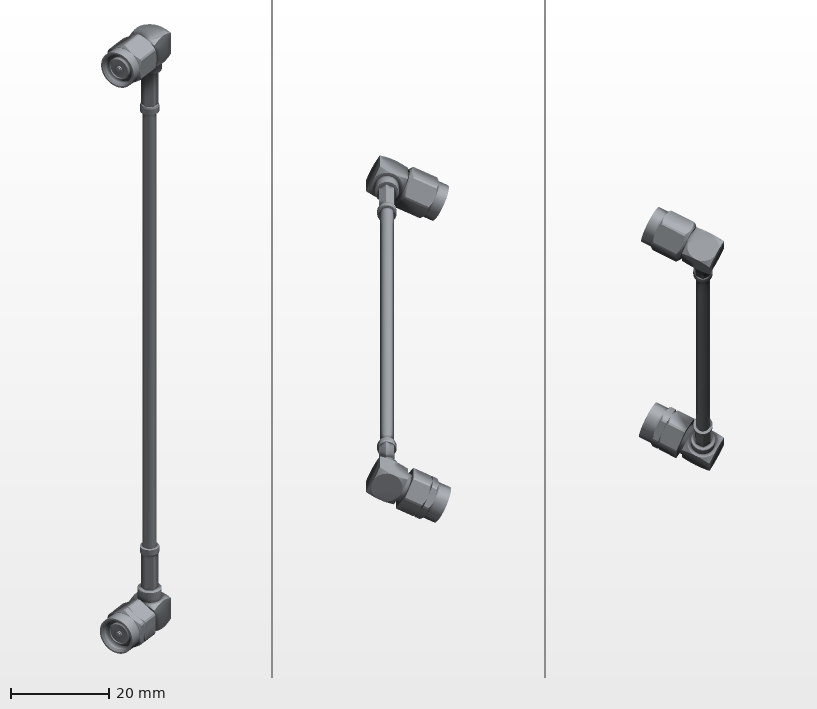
import cadquery as cq
import math

TOTAL_HEIGHT = 141.3
TOTAL_DEPTH = 15.8
HEX_ACROSS_CORNERS = 1 / math.cos(math.pi / 6)

BLOCK_SIDE = 6.4
BLOCK_CHAMFER_ANGLE = 30

COLLAR_DIAMETER = 5.0
COLLAR_LENGTH = 2.4
COLLAR_CHAMFER = 0.1
SLEEVE_WIDTH = 3.1
SLEEVE_CORNER_DIAMETER = 3.5
SLEEVE_LENGTH = 7.9
LIP_DIAMETER = 4.0
LIP_LENGTH = 1.7
LIP_TAPER_LENGTH = 0.4
LIP_TAPER_DEPTH = 0.1
CABLE_DIAMETER = 2.8

NECK_DIAMETER = 6.4
NECK_END = 10.6
SHELL_DIAMETER = 4.8
SHELL_CHAMFER = 0.1
SHELL_LENGTH = 1.1
INSULATOR_DIAMETER = 4.1
INSULATOR_LENGTH = 0.8
PIN_DIAMETER = 1.3
PIN_LENGTH = 1.1
PIN_TIP_DIAMETER = 0.93
PIN_TIP_LENGTH = 0.3

NUT_WIDTH = 8.0
NUT_CORNER_DIAMETER = 9.0
RIM_DIAMETER = 7.9
NUT_FRONT_CHAMFER = 0.4
BORE_CHAMFER = 0.4
HEX_END = 9.9

PLAIN_NUT_START = 3.4
PLAIN_NUT_END = 12.2
PLAIN_NUT_REAR_DIAMETER = 7.3
PLAIN_NUT_REAR_CHAMFER = 0.7

NOTCHED_NUT_START = 4.1
NOTCHED_NUT_END = TOTAL_DEPTH - BLOCK_SIDE / 2
NOTCH_PLACE = 8.3

AXIS_HEIGHT = (TOTAL_HEIGHT - NUT_CORNER_DIAMETER) / 2
COLLAR_TOP = BLOCK_SIDE / 2 + COLLAR_LENGTH
SLEEVE_TOP = COLLAR_TOP + SLEEVE_LENGTH
LIP_TOP = SLEEVE_TOP + LIP_LENGTH
NUT_FLAT_RADIUS = NUT_WIDTH / 2
NUT_CORNER_RADIUS = NUT_CORNER_DIAMETER / 2


def upright_cylinder(diameter, start, end):
    """Cylinder about the Z axis."""
    return cq.Workplane("XY").workplane(offset=start).circle(diameter / 2).extrude(end - start)


def mating_cylinder(diameter, start, end):
    """Cylinder about the Y axis, between two distances toward -Y."""
    return cq.Workplane("XZ").workplane(offset=start).circle(diameter / 2).extrude(end - start)


def mating_hexagon(start, end):
    """Hexagonal prism of the nut about the Y axis, with corners up and down."""
    corner_to_corner = NUT_WIDTH * HEX_ACROSS_CORNERS
    prism = cq.Workplane("XZ").workplane(offset=start).polygon(6, corner_to_corner).extrude(end - start)
    return prism.rotate((0, 0, 0), (0, 1, 0), 90)


def mating_turned(profile):
    """Solid of revolution about the Y axis from (radius, distance toward -Y) points."""
    points = [(radius, -distance) for radius, distance in profile]
    return cq.Workplane("XY").polyline(points).close().revolve(360, (0, 0, 0), (0, 1, 0))


def make_block():
    """Cube whose corners are cut by cones at its top and bottom."""
    half = BLOCK_SIDE / 2
    reach = BLOCK_SIDE
    drop = (reach - half) * math.tan(math.radians(BLOCK_CHAMFER_ANGLE))
    profile = [(0, half), (half, half), (reach, half - drop), (reach, drop - half), (half, -half), (0, -half)]
    turned = cq.Workplane("XZ").polyline(profile).close().revolve(360, (0, 0, 0), (0, 1, 0))
    return cq.Workplane("XY").box(BLOCK_SIDE, BLOCK_SIDE, BLOCK_SIDE).intersect(turned)


def make_sleeve():
    """Collar, crimped hexagon with turned corners, and the lip around the cable."""
    collar = upright_cylinder(COLLAR_DIAMETER, 0, COLLAR_TOP).faces(">Z").chamfer(COLLAR_CHAMFER)
    hexagon = (
        cq.Workplane("XY")
        .workplane(offset=COLLAR_TOP)
        .polygon(6, SLEEVE_WIDTH * HEX_ACROSS_CORNERS)
        .extrude(SLEEVE_LENGTH)
        .rotate((0, 0, 0), (0, 0, 1), 90)
        .intersect(upright_cylinder(SLEEVE_CORNER_DIAMETER, COLLAR_TOP, SLEEVE_TOP))
    )
    lip = upright_cylinder(LIP_DIAMETER, SLEEVE_TOP, LIP_TOP)
    lip = lip.faces("<Z").chamfer(LIP_TAPER_LENGTH, LIP_TAPER_DEPTH)
    return collar.union(hexagon).union(lip)


def make_mating_end():
    """Neck that carries the nut, with the shell, insulator and pin on its end."""
    neck = mating_cylinder(NECK_DIAMETER, 0, NECK_END)
    shell_end = NECK_END + SHELL_LENGTH
    shell = mating_cylinder(SHELL_DIAMETER, NECK_END, shell_end).faces("<Y").chamfer(SHELL_CHAMFER)
    recess = mating_cylinder(INSULATOR_DIAMETER, NECK_END + INSULATOR_LENGTH, shell_end)
    pin_end = NECK_END + PIN_LENGTH
    pin = mating_cylinder(PIN_DIAMETER, NECK_END, pin_end)
    tip = mating_cylinder(PIN_TIP_DIAMETER, pin_end, pin_end + PIN_TIP_LENGTH)
    return neck.union(shell.cut(recess)).union(pin).union(tip)


def make_elbow():
    cable_hole = upright_cylinder(CABLE_DIAMETER, COLLAR_TOP, LIP_TOP)
    return make_block().union(make_mating_end()).union(make_sleeve()).cut(cable_hole)


def finish_nut(hexagon, start, end):
    """Add the round rim to a nut's hexagon and bore it through."""
    rim = mating_cylinder(RIM_DIAMETER, HEX_END, end)
    bore_radius = NECK_DIAMETER / 2
    bore = mating_turned([
        (0, start),
        (bore_radius, start),
        (bore_radius, end - BORE_CHAMFER),
        (bore_radius + BORE_CHAMFER, end),
        (0, end),
    ])
    return hexagon.union(rim).cut(bore)


def make_plain_nut():
    envelope = mating_turned([
        (0, PLAIN_NUT_START),
        (PLAIN_NUT_REAR_DIAMETER / 2, PLAIN_NUT_START),
        (NUT_CORNER_RADIUS, PLAIN_NUT_START + PLAIN_NUT_REAR_CHAMFER),
        (NUT_CORNER_RADIUS, HEX_END - NUT_FRONT_CHAMFER),
        (NUT_FLAT_RADIUS, HEX_END),
        (0, HEX_END),
    ])
    hexagon = mating_hexagon(PLAIN_NUT_START, HEX_END).intersect(envelope)
    return finish_nut(hexagon, PLAIN_NUT_START, PLAIN_NUT_END)


def make_notched_nut():
    envelope = mating_turned([
        (0, NOTCHED_NUT_START),
        (NUT_CORNER_RADIUS, NOTCHED_NUT_START),
        (NUT_CORNER_RADIUS, NOTCH_PLACE - NUT_FRONT_CHAMFER),
        (NUT_FLAT_RADIUS, NOTCH_PLACE),
        (NUT_CORNER_RADIUS, NOTCH_PLACE),
        (NUT_CORNER_RADIUS, HEX_END - NUT_FRONT_CHAMFER),
        (NUT_FLAT_RADIUS, HEX_END),
        (0, HEX_END),
    ])
    hexagon = mating_hexagon(NOTCHED_NUT_START, HEX_END).intersect(envelope)
    return finish_nut(hexagon, NOTCHED_NUT_START, NOTCHED_NUT_END)


def at_bottom(body):
    return body.translate((0, 0, -AXIS_HEIGHT))


def at_top(body):
    return body.rotate((0, 0, 0), (0, 1, 0), 180).translate((0, 0, AXIS_HEIGHT))


elbows = [place(make_elbow()) for place in (at_bottom, at_top)]
plain_nut = at_top(make_plain_nut())
notched_nut = at_bottom(make_notched_nut())
cable_end = AXIS_HEIGHT - COLLAR_TOP
cable = upright_cylinder(CABLE_DIAMETER, -cable_end, cable_end)

result = cq.Compound.makeCompound([
    *[elbow.val() for elbow in elbows],
    plain_nut.val(),
    notched_nut.val(),
    cable.val(),
])